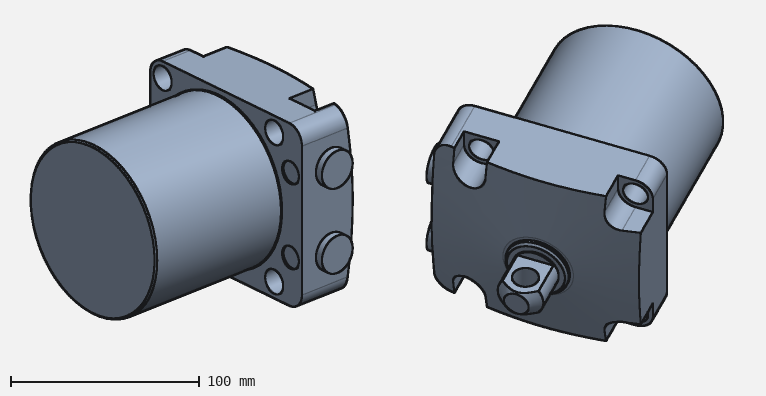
import cadquery as cq
import math


OVERALL_LENGTH = 169.5

FLANGE_HEIGHT = 108.0
FLANGE_WIDTH = 120.0
FLANGE_LEFT = -FLANGE_HEIGHT / 2
FLANGE_RIGHT = FLANGE_LEFT + FLANGE_WIDTH
CORNER_RADIUS = 10.0

CONE_ANGLE = 15
CONE_TOP_Y = 48.6
CONE_TOP_RADIUS = 20.2

COLLAR_RADIUS = 18.1
COLLAR_HEIGHT = 3.2
COLLAR_CHAMFER = 1.5
COLLAR_TOP_Y = CONE_TOP_Y + COLLAR_HEIGHT

BARREL_RADIUS = 50.0
BARREL_LENGTH = 90.0
BARREL_CHAMFER = 1.0
PILOT_RADIUS = 50.3
PILOT_HEIGHT = 0.5

HOLE_OFFSET = 44.0
HOLE_DIAMETER = 14.2
POCKET_RADIUS = 10.0
POCKET_FLOOR_Y = 20.0

PORT_X = 57.0
PORT_Z = 25.1
PORT_DIAMETER = 13.2
PORT_DEPTH = 1.0

PLUG_DIAMETER = 22.0
PLUG_HEIGHT = 4.7
PLUG_Y = 21.0

ROD_RADIUS = 13.0
ROD_TIP_Y = OVERALL_LENGTH - BARREL_LENGTH
ROD_TIP_CHAMFER = 6.0
FLAT_THICKNESS = 16.0
FLAT_START_Y = 52.7
EYE_DIAMETER = 14.2
EYE_Y = 66.6


def cylinder_along_y(radius, start_y, end_y, x=0, z=0):
    """Solid cylinder parallel to Y between two Y positions."""
    base = cq.Workplane("XZ", origin=(x, start_y, z)).circle(radius)
    return base.extrude(start_y - end_y)


def box_between(x_range, y_range, z_range):
    """Axis-aligned box given by its limits along each axis."""
    size = [end - start for start, end in (x_range, y_range, z_range)]
    corner = (x_range[0], y_range[0], z_range[0])
    return cq.Workplane("XY").box(*size, centered=False).translate(corner)


def flange_block():
    """Rectangular block with rounded corners whose back follows a shallow cone."""
    top = FLANGE_HEIGHT / 2
    block = box_between((FLANGE_LEFT, FLANGE_RIGHT), (0, CONE_TOP_Y), (-top, top))
    block = block.edges("|Y").fillet(CORNER_RADIUS)
    rim_radius = math.hypot(FLANGE_RIGHT, top)
    rim_y = CONE_TOP_Y - (rim_radius - CONE_TOP_RADIUS) * math.tan(math.radians(CONE_ANGLE))
    half_profile = [
        (0, 0),
        (rim_radius, 0),
        (rim_radius, rim_y),
        (CONE_TOP_RADIUS, CONE_TOP_Y),
        (0, CONE_TOP_Y),
    ]
    envelope = cq.Workplane("XY").polyline(half_profile).close().revolve(360, (0, 0), (0, 1))
    return block.intersect(envelope)


def collar():
    ring = cylinder_along_y(COLLAR_RADIUS, CONE_TOP_Y, COLLAR_TOP_Y)
    return ring.faces(">Y").chamfer(COLLAR_CHAMFER)


def barrel():
    tube = cylinder_along_y(BARREL_RADIUS, 0, -BARREL_LENGTH).faces("<Y").chamfer(BARREL_CHAMFER)
    return tube.union(cylinder_along_y(PILOT_RADIUS, 0, -PILOT_HEIGHT))


def bolt_pocket(x_side, z_side):
    """Round pocket behind a bolt hole, open to the near Z edge, and on the left to the X edge too."""
    x = x_side * HOLE_OFFSET
    z = z_side * HOLE_OFFSET
    depth = (POCKET_FLOOR_Y, CONE_TOP_Y)
    z_edge = sorted((z, z_side * FLANGE_HEIGHT / 2))
    pocket = cylinder_along_y(POCKET_RADIUS, *depth, x, z)
    pocket = pocket.union(box_between((x - POCKET_RADIUS, x + POCKET_RADIUS), depth, z_edge))
    if x_side < 0:
        z_range = sorted((z - z_side * POCKET_RADIUS, z_side * FLANGE_HEIGHT / 2))
        pocket = pocket.union(box_between((FLANGE_LEFT, x), depth, z_range))
    return pocket


def make_housing():
    body = flange_block().union(collar()).union(barrel())
    for x_side in (-1, 1):
        for z_side in (-1, 1):
            x = x_side * HOLE_OFFSET
            z = z_side * HOLE_OFFSET
            body = body.cut(cylinder_along_y(HOLE_DIAMETER / 2, 0, CONE_TOP_Y, x, z))
            body = body.cut(bolt_pocket(x_side, z_side))
    for z in (-PORT_Z, PORT_Z):
        body = body.cut(cylinder_along_y(PORT_DIAMETER / 2, 0, PORT_DEPTH, PORT_X, z))
    return body


def make_rod():
    """Rod standing on the collar, chamfered at the tip, with two flats and a cross hole."""
    rod = cylinder_along_y(ROD_RADIUS, COLLAR_TOP_Y, ROD_TIP_Y).faces(">Y").chamfer(ROD_TIP_CHAMFER)
    for z_range in ((-ROD_RADIUS, -FLAT_THICKNESS / 2), (FLAT_THICKNESS / 2, ROD_RADIUS)):
        rod = rod.cut(box_between((-ROD_RADIUS, ROD_RADIUS), (FLAT_START_Y, ROD_TIP_Y), z_range))
    eye = cq.Workplane("XY").center(0, EYE_Y).circle(EYE_DIAMETER / 2).extrude(ROD_RADIUS, both=True)
    return rod.cut(eye)


def make_plug(z):
    """Round plug head seated on the right side of the flange."""
    seat = cq.Workplane("YZ", origin=(FLANGE_RIGHT, PLUG_Y, z))
    return seat.circle(PLUG_DIAMETER / 2).extrude(PLUG_HEIGHT)


housing = make_housing()
rod = make_rod()
plugs = [make_plug(z) for z in (-PORT_Z, PORT_Z)]

result = cq.Compound.makeCompound([housing.val(), rod.val(), *[plug.val() for plug in plugs]])